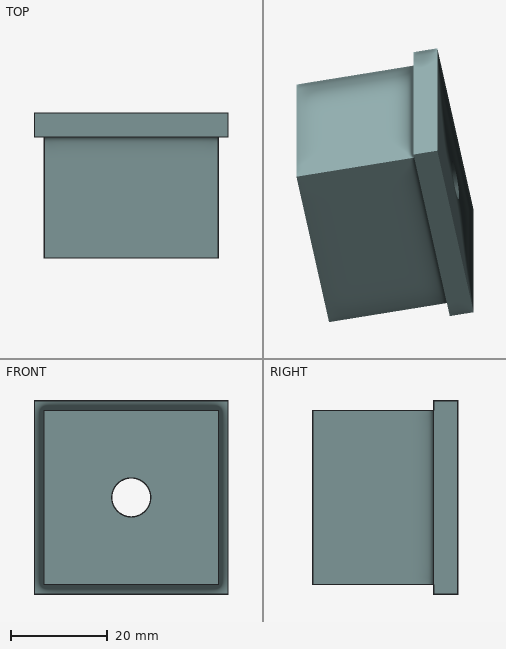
import cadquery as cq

flange_side = 40.0
flange_thickness = 5.0
flange_overhang = 2.0
total_depth = 30.0
bore_diameter = 8.0

body_side = flange_side - 2 * flange_overhang
body_depth = total_depth - flange_thickness


def square_block(side, depth, front_y):
    """Square block centred on the Y axis, running from front_y towards +Y."""
    return cq.Workplane("XY").box(side, depth, side, centered=(True, False, True)).translate((0, front_y, 0))


def bore():
    """Round through hole along the Y axis."""
    return cq.Workplane("XZ").circle(bore_diameter / 2).extrude(-total_depth)


body = square_block(body_side, body_depth, 0)
flange = square_block(flange_side, flange_thickness, body_depth)

result = body.union(flange).cut(bore())